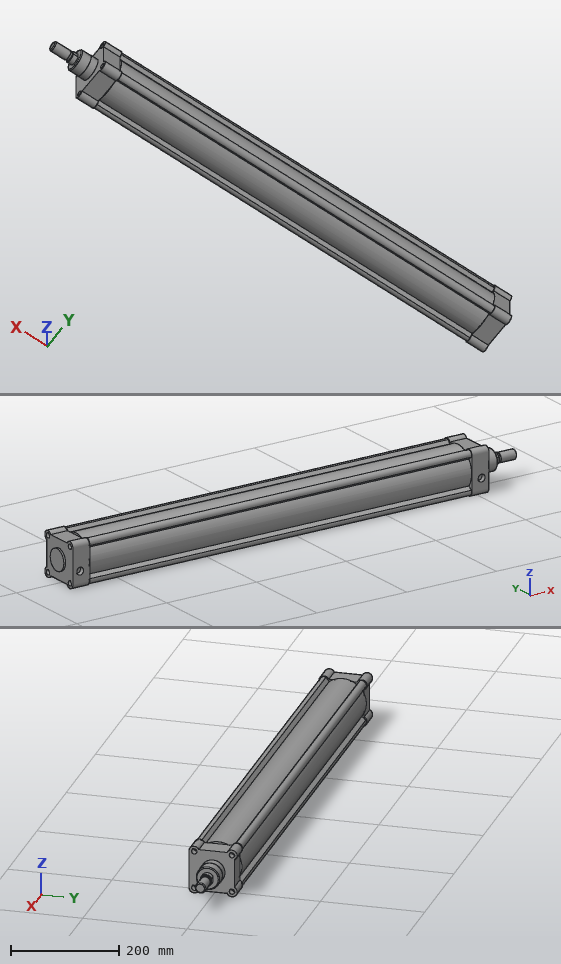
import cadquery as cq
import math

OVERALL_LENGTH = 1019.0
REAR_FACE_X = 4.0
CAP_LENGTH = 38.0
FRONT_FACE_X = 931.0
COLLAR_END_X = 946.0
NOSE_END_X = 968.0
ROD_END_X = 979.0
THREAD_START_X = 983.0

CAP_SIDE = 93.0
SCREW_PITCH = 72.0
CAP_RECESS_HALF = 41.0
SCREW_HOLE_DIAMETER = 10.0
SCREW_HOLE_DEPTH = 15.0
PORT_DIAMETER = 15.0
PORT_DEPTH = 10.0
PORT_INSET = 16.0
PORT_Z = -12.0
BOSS_DIAMETER = 45.0

COLLAR_DIAMETER = 46.0
NOSE_DIAMETER = 45.0
NOSE_CHAMFER = 2.0

BARREL_DIAMETER = 90.0
FLANK_OUTER = 33.0
FLANK_ROOT = 26.0
BAND_HALF_WIDTH = 11.0

ROD_DIAMETER = 23.0
ROD_CHAMFER = 1.0
FLATS_WIDTH = 21.0
RELIEF_DIAMETER = 18.0
THREAD_DIAMETER = 20.0
THREAD_CHAMFER = 2.0

CAP_HALF = CAP_SIDE / 2
SCREW_OFFSET = SCREW_PITCH / 2
LUG_RADIUS = CAP_HALF - SCREW_OFFSET
SCREW_POINTS = [(y, z) for y in (-SCREW_OFFSET, SCREW_OFFSET) for z in (-SCREW_OFFSET, SCREW_OFFSET)]
TUBE_START_X = REAR_FACE_X + CAP_LENGTH
TUBE_END_X = FRONT_FACE_X - CAP_LENGTH


def cross_section(x):
    """Workplane across the axis at x, with local axes Y and Z."""
    return cq.Workplane("YZ", origin=(x, 0, 0))


def cylinder(diameter, start_x, end_x):
    """Cylinder on the axis between two positions."""
    return cross_section(start_x).circle(diameter / 2).extrude(end_x - start_x)


def make_cap(start_x, outer_x, inward):
    """Square cap with corner lugs, a flat port face on -Y, a port and screw holes.

    The screw holes open at outer_x and run in the X direction given by inward (+1 or -1).
    """
    y_span = CAP_HALF + CAP_RECESS_HALF
    y_middle = (CAP_RECESS_HALF - CAP_HALF) / 2
    port_block = cross_section(start_x).center(y_middle, 0).rect(y_span, SCREW_PITCH).extrude(CAP_LENGTH)

    body_span = SCREW_OFFSET + CAP_RECESS_HALF
    body_middle = (CAP_RECESS_HALF - SCREW_OFFSET) / 2
    core = cross_section(start_x).center(body_middle, 0).rect(body_span, 2 * CAP_RECESS_HALF)
    cap = port_block.union(core.extrude(CAP_LENGTH))
    cap = cap.union(cross_section(start_x).pushPoints(SCREW_POINTS).circle(LUG_RADIUS).extrude(CAP_LENGTH))

    screw_holes = cross_section(outer_x).pushPoints(SCREW_POINTS).circle(SCREW_HOLE_DIAMETER / 2)
    cap = cap.cut(screw_holes.extrude(inward * SCREW_HOLE_DEPTH))

    port_x = outer_x + inward * PORT_INSET
    port = cq.Workplane("XZ", origin=(port_x, -CAP_HALF, PORT_Z)).circle(PORT_DIAMETER / 2)
    return cap.cut(port.extrude(-PORT_DEPTH))


def make_rear_cap():
    """Rear cap with its centring boss."""
    boss = cylinder(BOSS_DIAMETER, 0, REAR_FACE_X)
    return make_cap(REAR_FACE_X, REAR_FACE_X, 1).union(boss)


def make_front_cap():
    """Front cap with the collar and the chamfered nose around the rod."""
    collar = cylinder(COLLAR_DIAMETER, FRONT_FACE_X, COLLAR_END_X)
    nose = cylinder(NOSE_DIAMETER, COLLAR_END_X, NOSE_END_X).faces(">X").chamfer(NOSE_CHAMFER)
    return make_cap(TUBE_END_X, FRONT_FACE_X, -1).union(collar).union(nose)


def make_tube():
    """Round barrel with four rounded corner ribs joined to it by straight flanks."""
    barrel_radius = BARREL_DIAMETER / 2
    corner_radius = barrel_radius - SCREW_OFFSET
    root_angle = math.asin(FLANK_ROOT / barrel_radius)
    band_angle = math.asin(BAND_HALF_WIDTH / barrel_radius)
    flank_reach = SCREW_OFFSET + math.sqrt(corner_radius**2 - (SCREW_OFFSET - FLANK_OUTER) ** 2)
    corner_middle = SCREW_OFFSET + corner_radius * math.sqrt(0.5)

    def turned(point, side_angle):
        """Point of the +Y side turned about the axis to another side."""
        y, z = point
        c, s = math.cos(side_angle), math.sin(side_angle)
        return (y * c - z * s, y * s + z * c)

    def on_barrel(angle):
        """Point on the barrel circle at an angle from +Y."""
        return (barrel_radius * math.cos(angle), barrel_radius * math.sin(angle))

    stops = [-root_angle, -band_angle, 0, band_angle, root_angle]
    outline = cross_section(TUBE_START_X).moveTo(*on_barrel(-root_angle))
    for side in range(4):
        side_angle = side * math.pi / 2
        if side > 0:
            outline = outline.lineTo(*turned(on_barrel(-root_angle), side_angle))
        for begin, end in zip(stops, stops[1:]):
            middle = on_barrel((begin + end) / 2)
            outline = outline.threePointArc(turned(middle, side_angle), turned(on_barrel(end), side_angle))
        outline = outline.lineTo(*turned((flank_reach, FLANK_OUTER), side_angle))
        outline = outline.threePointArc(
            turned((corner_middle, corner_middle), side_angle),
            turned((FLANK_OUTER, flank_reach), side_angle),
        )
    return outline.close().extrude(TUBE_END_X - TUBE_START_X, clean=False)


def make_rod():
    """Rod end with two wrench flats facing -Y and +Y, a thread relief and a plain thread."""
    shank_length = ROD_END_X - NOSE_END_X
    shank = cylinder(ROD_DIAMETER, NOSE_END_X, ROD_END_X)
    shank = shank.faces(">X").chamfer(ROD_CHAMFER)
    flats = cross_section(NOSE_END_X).rect(FLATS_WIDTH, 2 * ROD_DIAMETER).extrude(shank_length)
    relief = cylinder(RELIEF_DIAMETER, ROD_END_X, THREAD_START_X)
    thread = cylinder(THREAD_DIAMETER, THREAD_START_X, OVERALL_LENGTH).faces(">X").chamfer(THREAD_CHAMFER)
    return shank.intersect(flats).union(relief).union(thread)


rear_cap = make_rear_cap()
tube = make_tube()
front_cap = make_front_cap()
piston_rod = make_rod()

result = cq.Compound.makeCompound([rear_cap.val(), tube.val(), front_cap.val(), piston_rod.val()])